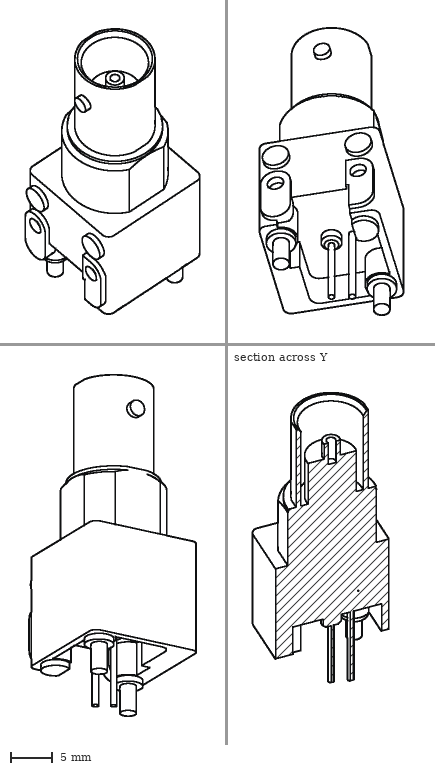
import cadquery as cq


HOUSING_X = 14.77
HOUSING_Y = 15.23
HOUSING_HEIGHT = 14.05
HOUSING_CORNER_RADIUS = 1.0
FRONT_Y = -HOUSING_Y / 2

WALL = 1.0
CAVITY_HALF_WIDTH = 3.92
CAVITY_CORNER_RADIUS = 1.25
CAVITY_HEIGHT = 4.2

POST_OFFSET = 5.08
POST_RADIUS = 2.02
PEG_RADIUS = 1.0
PEG_LENGTH = 4.2
PEG_COLLAR_RADIUS = 1.77
PEG_COLLAR_HEIGHT = 0.75

OVERALL_DEPTH = 15.9
RAISED_HEIGHT = OVERALL_DEPTH - HOUSING_Y
RAISED_ROOT = HOUSING_CORNER_RADIUS
DISC_RADIUS = 1.6
DISC_DROP = 2.97
DISC_Z = HOUSING_HEIGHT - DISC_DROP
PAD_RADIUS = 1.8
PAD_LENGTH = 7.65
PAD_BOTTOM = 0.75
PAD_CENTER_Z = PAD_BOTTOM + PAD_LENGTH / 2
PAD_INNER_EDGE = 3.55
PAD_HOLE_RADIUS = 1.0
PAD_HOLE_Z = 6.35
PAD_HOLE_DEPTH = 1.0

BUSHING_RADIUS = 1.25
BUSHING_TIP_RADIUS = 0.85
BUSHING_HEIGHT = 1.35
BUSHING_TAPER_HEIGHT = 0.37
CENTER_WIRE_RADIUS = 0.37
CENTER_WIRE_LENGTH = 5.95
GROUND_WIRE_X = 2.55
GROUND_WIRE_RADIUS = 0.4
OVERALL_HEIGHT = 41.25

NUT_RADIUS = 6.4
NUT_NECK_RADIUS = 5.75
NUT_HEIGHT = 8.7
NUT_NECK_HEIGHT = 0.45
NUT_CHAMFER_HEIGHT = 0.55
NUT_HALF_WIDTH = 5.78
NUT_BACK_Y = 5.57

BARREL_RADIUS = 4.83
BARREL_HALF_WIDTH = 4.7
BARREL_HEIGHT = 20.8
BORE_RADIUS = 4.05
BORE_MOUTH_RADIUS = 4.5
BORE_MOUTH_DEPTH = 0.65
LUG_RADIUS = 1.0
LUG_SPAN = 11.1
LUG_DROP = 4.25

INSULATOR_RADIUS = 3.18
INSULATOR_DEPTH = 5.78
CONTACT_RADIUS = 1.1
CONTACT_DEPTH = 3.45
SOCKET_RADIUS = 0.58
SOCKET_DEPTH = 3.3

BARREL_TOP = HOUSING_HEIGHT + BARREL_HEIGHT
LUG_Z = BARREL_TOP - LUG_DROP
GROUND_WIRE_LENGTH = OVERALL_HEIGHT - BARREL_TOP


def cylinder(radius, bottom, top, x=0.0, y=0.0):
    """Upright cylinder between two heights."""
    return cq.Workplane("XY", origin=(x, y, bottom)).circle(radius).extrude(top - bottom)


def cone(bottom_radius, top_radius, bottom, top):
    """Upright truncated cone on the jack axis between two heights."""
    solid = cq.Solid.makeCone(bottom_radius, top_radius, top - bottom)
    return cq.Workplane(solid.translate(cq.Vector(0, 0, bottom)))


def block(x_range, y_range, z_range):
    """Axis-aligned box given by its limits."""
    size = [high - low for low, high in (x_range, y_range, z_range)]
    corner = (x_range[0], y_range[0], z_range[0])
    return cq.Workplane("XY").box(*size, centered=False).translate(corner)


def raised_plane(x, z):
    """Plane of the raised faces in front of the housing, with its normal along -Y."""
    return cq.Workplane("XZ", origin=(x, FRONT_Y - RAISED_HEIGHT, z))


def raised_disc(x):
    """Round raised disc near the top of the front face."""
    return raised_plane(x, DISC_Z).circle(DISC_RADIUS).extrude(-RAISED_HEIGHT - RAISED_ROOT)


def raised_pad(x):
    """Raised pad with full-round ends near the bottom of the front face."""
    plane = raised_plane(x, PAD_CENTER_Z)
    return plane.slot2D(PAD_LENGTH, 2 * PAD_RADIUS, 90).extrude(-RAISED_HEIGHT - RAISED_ROOT)


def squared_pad():
    """Right-hand pad, whose inner half is squared off along a straight edge."""
    y_range = (FRONT_Y - RAISED_HEIGHT, FRONT_Y + RAISED_ROOT)
    pad_z = (PAD_BOTTOM, PAD_BOTTOM + PAD_LENGTH)
    inner_half = block((PAD_INNER_EDGE, POST_OFFSET), y_range, pad_z)
    beyond_edge = block((0, PAD_INNER_EDGE), y_range, pad_z)
    return raised_pad(POST_OFFSET).union(inner_half).cut(beyond_edge)


def cavity():
    """Space under the housing, its front opening and the posts left standing in it."""
    height = (0, CAVITY_HEIGHT)
    main = block(
        (-CAVITY_HALF_WIDTH, HOUSING_X / 2 - WALL),
        (-POST_OFFSET, HOUSING_Y / 2 - WALL),
        height,
    )
    main = main.edges("|Z and >Y").fillet(CAVITY_CORNER_RADIUS)
    for y in (-POST_OFFSET, POST_OFFSET):
        main = main.cut(cylinder(POST_RADIUS, 0, CAVITY_HEIGHT, POST_OFFSET, y))

    opening = block((-POST_OFFSET, CAVITY_HALF_WIDTH), (FRONT_Y, 0), height)
    pad_trim = block((0, CAVITY_HALF_WIDTH), (FRONT_Y - RAISED_HEIGHT, FRONT_Y), height)
    left_post = cylinder(POST_RADIUS, 0, CAVITY_HEIGHT, -POST_OFFSET, -POST_OFFSET)
    return main.union(opening).union(pad_trim).cut(left_post)


def housing():
    """Rounded box with the cavity below and the raised discs and pads in front."""
    body = cq.Workplane("XY").rect(HOUSING_X, HOUSING_Y).extrude(HOUSING_HEIGHT)
    body = body.edges("|Z").fillet(HOUSING_CORNER_RADIUS)
    body = body.union(squared_pad())
    body = body.cut(cavity())

    body = body.union(raised_pad(-POST_OFFSET))
    for x in (-POST_OFFSET, POST_OFFSET):
        body = body.union(raised_disc(x))
        body = body.cut(raised_plane(x, PAD_HOLE_Z).circle(PAD_HOLE_RADIUS).extrude(-PAD_HOLE_DEPTH))
    return body


def collar(x, y):
    """Standoff collar under a post."""
    return cylinder(PEG_COLLAR_RADIUS, -PEG_COLLAR_HEIGHT, 0, x, y)


def pegs():
    """Two collared pegs on opposite corners and a flattened collar on the front right post."""
    reach = PEG_COLLAR_RADIUS + POST_OFFSET
    flat = block((0, CAVITY_HALF_WIDTH), (-reach, 0), (-PEG_COLLAR_HEIGHT, 0))
    shape = collar(POST_OFFSET, -POST_OFFSET).cut(flat)
    for place in (-POST_OFFSET, POST_OFFSET):
        shape = shape.union(cylinder(PEG_RADIUS, -PEG_LENGTH, 0, place, place))
        shape = shape.union(collar(place, place))
    return shape


def terminals():
    """Tapered bushing with the center wire, and the ground wire beside it."""
    bushing_bottom = CAVITY_HEIGHT - BUSHING_HEIGHT
    taper_top = bushing_bottom + BUSHING_TAPER_HEIGHT
    bushing = cylinder(BUSHING_RADIUS, taper_top, CAVITY_HEIGHT)
    bushing = bushing.union(cone(BUSHING_TIP_RADIUS, BUSHING_RADIUS, bushing_bottom, taper_top))
    center_wire = cylinder(CENTER_WIRE_RADIUS, -CENTER_WIRE_LENGTH, CAVITY_HEIGHT)
    ground_wire = cylinder(GROUND_WIRE_RADIUS, -GROUND_WIRE_LENGTH, CAVITY_HEIGHT, GROUND_WIRE_X)
    return bushing.union(center_wire).union(ground_wire)


def nut():
    """Round nut with a chamfered neck and flats on both sides and the back."""
    neck_z = HOUSING_HEIGHT + NUT_HEIGHT - NUT_NECK_HEIGHT
    profile = (
        cq.Workplane("XZ")
        .moveTo(0, HOUSING_HEIGHT)
        .lineTo(NUT_RADIUS, HOUSING_HEIGHT)
        .lineTo(NUT_RADIUS, neck_z - NUT_CHAMFER_HEIGHT)
        .lineTo(NUT_NECK_RADIUS, neck_z)
        .lineTo(NUT_NECK_RADIUS, HOUSING_HEIGHT + NUT_HEIGHT)
        .lineTo(0, HOUSING_HEIGHT + NUT_HEIGHT)
        .close()
    )
    flats = block(
        (-NUT_HALF_WIDTH, NUT_HALF_WIDTH),
        (-NUT_RADIUS, NUT_BACK_Y),
        (HOUSING_HEIGHT, HOUSING_HEIGHT + NUT_HEIGHT),
    )
    return profile.revolve(360, (0, 0, 0), (0, 1, 0)).intersect(flats)


def barrel():
    """Tube with two bayonet lugs, side flats and a contact inside."""
    floor_z = HOUSING_HEIGHT + NUT_HEIGHT
    shell = cylinder(BARREL_RADIUS, floor_z, BARREL_TOP)
    shell = shell.intersect(
        block(
            (-BARREL_HALF_WIDTH, BARREL_HALF_WIDTH),
            (-BARREL_RADIUS, BARREL_RADIUS),
            (floor_z, BARREL_TOP),
        )
    )
    lugs = cq.Workplane("XZ", origin=(0, 0, LUG_Z)).circle(LUG_RADIUS).extrude(LUG_SPAN / 2, both=True)
    bore = cylinder(BORE_RADIUS, floor_z, BARREL_TOP)
    mouth = cone(BORE_RADIUS, BORE_MOUTH_RADIUS, BARREL_TOP - BORE_MOUTH_DEPTH, BARREL_TOP)
    shell = shell.union(lugs).cut(bore).cut(mouth)

    contact_top = BARREL_TOP - CONTACT_DEPTH
    insulator = cylinder(INSULATOR_RADIUS, floor_z, BARREL_TOP - INSULATOR_DEPTH)
    contact = cylinder(CONTACT_RADIUS, floor_z, contact_top)
    socket = cylinder(SOCKET_RADIUS, contact_top - SOCKET_DEPTH, contact_top)
    return shell.union(insulator.union(contact).cut(socket))


result = housing().union(pegs()).union(terminals()).union(nut()).union(barrel())